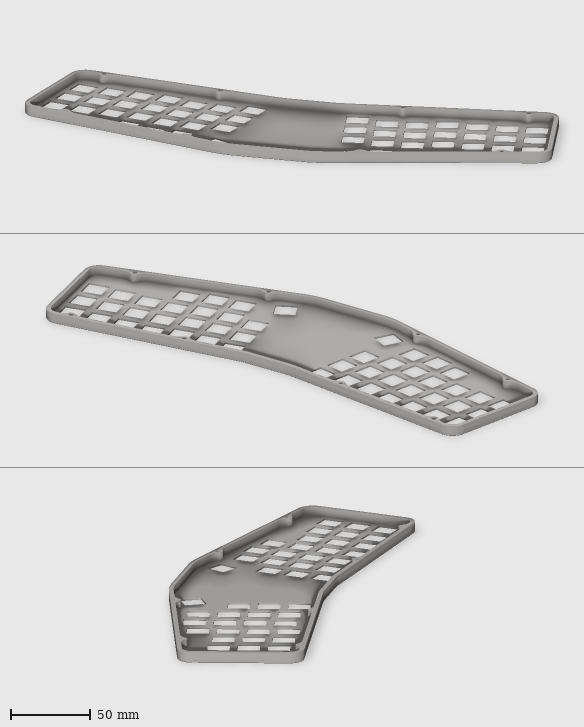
import cadquery as cq
import math

LENGTH = 344.3
WIDTH = 116.5
HEIGHT = 7.0
FLOOR = 1.2
WALL = 3.0
BOTTOM_CHAMFER = 0.4

CORNER_RADIUS = 10.0
BEND_RADIUS = 50.0
END_X = LENGTH / 2 - CORNER_RADIUS
REAR_Y = WIDTH / 2 - CORNER_RADIUS
FRONT_CORNER = (END_X, -10.7)
REAR_CORNER = (149.8, REAR_Y)
FRONT_BEND = (28.5, -REAR_Y)
REAR_BEND = (18.5, 29.3)

KEY_SIZE = 14.0
KEYS_IN_SPAN = 6
KEY_SPAN = 114.3
KEY_PITCH = KEY_SPAN / KEYS_IN_SPAN
KEY_TILT = 12.0
FIRST_KEY = (-148.5, 39.3)
COLUMNS = [(0, 3), (2.0, 3), (2.5, 3), (2.5, 4), (-2.5, 4), (2.0, 4), (6.0, 3)]
THUMB_KEY = (-39.5, -40.0)
THUMB_TILT = 28.0

BOSS_CENTRES = [(-139.0, 53.5), (-60.0, 42.5), (-143.0, -22.5), (-57.0, -46.8)]
BOSS_RADIUS = 3.0
BOSS_BLEND_RADIUS = 10.0
SCREW_HOLE_DIAMETER = 3.0

TOLERANCE = 0.005


def mirrored(points):
    """Mirror points across X = 0."""
    return [(-x, y) for x, y in points]


ALL_BOSSES = BOSS_CENTRES + mirrored(BOSS_CENTRES)


def vertical_edges_at(solid, points, distance):
    """Vertical edges of the solid that stand at the given distance from one of the points."""
    found = []
    for edge in solid.edges("|Z").vals():
        centre = edge.Center()
        gaps = [abs(math.hypot(centre.x - x, centre.y - y) - distance) for x, y in points]
        if min(gaps) < TOLERANCE:
            found.append(edge)
    return solid.newObject(found)


def outline_block(inset):
    """Full-height block with the bent, rounded outline, shrunk by the inset."""
    right = [FRONT_BEND, FRONT_CORNER, REAR_CORNER, REAR_BEND]
    left = mirrored(reversed(right))
    core = cq.Workplane("XY").polyline(right + left).close().extrude(HEIGHT)
    front_bends = [FRONT_BEND] + mirrored([FRONT_BEND])
    rear_bends = [REAR_BEND] + mirrored([REAR_BEND])
    core = vertical_edges_at(core, front_bends, 0).fillet(BEND_RADIUS - CORNER_RADIUS)
    core = vertical_edges_at(core, rear_bends, 0).fillet(BEND_RADIUS + CORNER_RADIUS)
    footprint = core.faces("<Z").wires().val().offset2D(CORNER_RADIUS - inset)[0]
    return cq.Workplane("XY").add(footprint).toPending().extrude(HEIGHT)


def cavity():
    """Space inside the rim, with the bosses standing in it and blended into the rim."""
    space = outline_block(WALL).translate((0, 0, FLOOR))
    bosses = cq.Workplane("XY").pushPoints(ALL_BOSSES).circle(BOSS_RADIUS).extrude(HEIGHT + FLOOR)
    space = space.cut(bosses)
    return vertical_edges_at(space, ALL_BOSSES, BOSS_RADIUS).fillet(BOSS_BLEND_RADIUS)


def key_centres():
    """Centres of the left-half keys in the staggered columns."""
    tilt = math.radians(KEY_TILT)
    centres = []
    stagger = 0
    for column, (step, key_count) in enumerate(COLUMNS):
        stagger += step
        across = column * KEY_PITCH
        for row in range(key_count):
            along = stagger - row * KEY_PITCH
            x = FIRST_KEY[0] + across * math.cos(tilt) + along * math.sin(tilt)
            y = FIRST_KEY[1] - across * math.sin(tilt) + along * math.cos(tilt)
            centres.append((x, y))
    return centres


def key_openings(centres, tilt):
    """Square cutters through the floor, turned clockwise by the tilt, with their mirror images."""
    key = cq.Workplane("XY").rect(KEY_SIZE, KEY_SIZE).extrude(HEIGHT)
    key = key.rotate((0, 0, 0), (0, 0, 1), -tilt).val()
    left = cq.Workplane("XY").pushPoints(centres).eachpoint(lambda place: key.moved(place))
    return left.add(left.mirror("YZ")).combine()


def screw_holes():
    """Blind holes running from the rim down to the floor."""
    plane = cq.Workplane("XY").workplane(offset=FLOOR)
    return plane.pushPoints(ALL_BOSSES).circle(SCREW_HOLE_DIAMETER / 2).extrude(HEIGHT - FLOOR)


tray = outline_block(0).faces("<Z").edges().chamfer(BOTTOM_CHAMFER)
tray = tray.cut(cavity())
tray = tray.cut(key_openings(key_centres(), KEY_TILT))
tray = tray.cut(key_openings([THUMB_KEY], THUMB_TILT))
result = tray.cut(screw_holes()).solids()